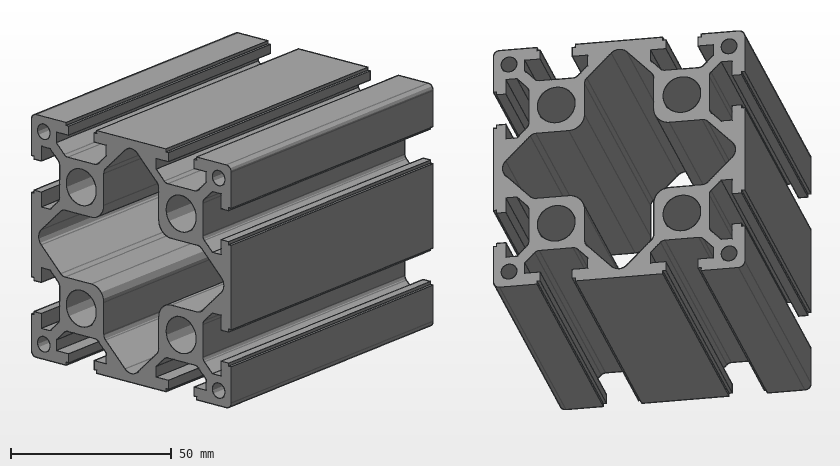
import cadquery as cq

side = 80.0
length = 100.0
half = side / 2
corner_radius = 2.0

slot_offset = side / 4
mouth_width = 10.2
mouth_step = 1.0
lip_thickness = 4.0
slot_width = 20.0
slot_depth = 11.3
slot_chamfer = 3.8
slot_floor_radius = 2.0

core_diameter = 12.0
corner_hole_diameter = 5.0
corner_hole_inset = 5.0

arm_half_width = 11.0
arm_tip = 38.5
arm_tip_radius = 3.5
arm_shoulder_radius = 2.5
cavity_inner_radius = 5.0


def extrude_section(outline):
    """Extrude a closed XZ outline over the length, centred on Y."""
    return outline.extrude(length / 2, both=True)


def make_slot():
    """T-slot opening through the top face, centred on the Z axis."""
    mouth = mouth_width / 2
    wide = slot_width / 2
    right_side = [
        (mouth + mouth_step, half),
        (mouth + mouth_step, half - mouth_step),
        (mouth, half - mouth_step),
        (mouth, half - lip_thickness),
        (wide, half - lip_thickness),
        (wide, half - slot_depth + slot_chamfer),
        (wide - slot_chamfer, half - slot_depth),
    ]
    left_side = [(-x, z) for x, z in reversed(right_side)]
    slot = extrude_section(cq.Workplane("XZ").polyline(right_side + left_side).close())
    floor_edges = slot.faces("<Z").edges("|Y")
    return floor_edges.fillet(slot_floor_radius)


def make_cavity_arm():
    """Upper arm of the cavity, reaching from the centre to its pointed tip."""
    shoulder = arm_tip - arm_half_width
    outline = [
        (-arm_half_width, 0),
        (arm_half_width, 0),
        (arm_half_width, shoulder),
        (0, arm_tip),
        (-arm_half_width, shoulder),
    ]
    arm = extrude_section(cq.Workplane("XZ").polyline(outline).close())
    arm = arm.edges("|Y").edges(">Z").fillet(arm_tip_radius)
    shoulder_edges = arm.faces("<X or >X").edges("|Y").edges(">Z")
    return shoulder_edges.fillet(arm_shoulder_radius)


def turned(body, angle):
    """Turn a body about the Y axis."""
    return body.rotate((0, 0, 0), (0, 1, 0), angle)


def make_cavity():
    """Join four arms and round the edges where they meet."""
    arm = make_cavity_arm()
    cavity = arm
    for angle in (90, 180, 270):
        cavity = cavity.union(turned(arm, angle))
    reach = 1.5 * arm_half_width
    inner_box = cq.selectors.BoxSelector((-reach, -length, -reach), (reach, length, reach))
    inner_edges = cavity.edges("|Y").edges(inner_box)
    return inner_edges.fillet(cavity_inner_radius)


def make_holes(spacing, diameter):
    """Four through holes on a square grid of the given spacing."""
    grid = cq.Workplane("XZ").rect(spacing, spacing, forConstruction=True).vertices()
    return extrude_section(grid.circle(diameter / 2))


result = cq.Workplane("XY").box(side, length, side).edges("|Y").fillet(corner_radius)
result = result.cut(make_cavity())

slot = make_slot()
for angle in (0, 90, 180, 270):
    for offset in (-slot_offset, slot_offset):
        result = result.cut(turned(slot.translate((offset, 0, 0)), angle))

result = result.cut(make_holes(2 * slot_offset, core_diameter))
result = result.cut(make_holes(side - 2 * corner_hole_inset, corner_hole_diameter))